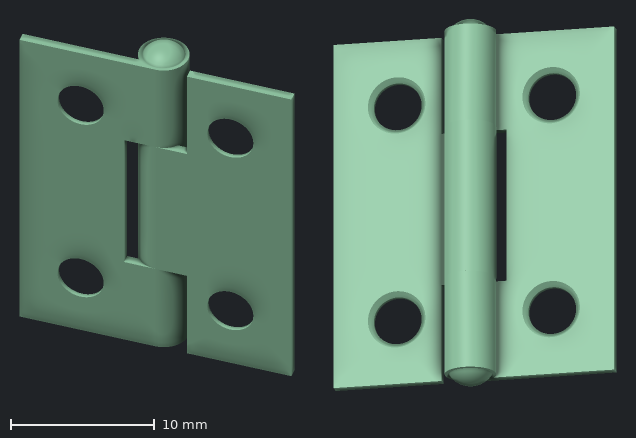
import cadquery as cq
import math

total_height = 26.6
leaf_height = 25.0
hinge_width = 20.0
plate_thickness = 0.7
knuckle_diameter = 3.6
pin_diameter = 3.0
middle_knuckle_height = 11.0
slot_reach = 2.31
screw_hole_diameter = 3.4
straight_hole_depth = 0.35
countersink_angle = 90.0
screw_hole_offset = 5.5
screw_hole_pitch = 15.6

knuckle_radius = knuckle_diameter / 2
pin_radius = pin_diameter / 2
leaf_reach = hinge_width / 2
dome_height = (total_height - leaf_height) / 2
end_knuckle_height = (leaf_height - middle_knuckle_height) / 2
end_knuckle_centre = (middle_knuckle_height + end_knuckle_height) / 2
plate_centre_y = -knuckle_radius + plate_thickness / 2


def plate(side, inner, height, z_centre):
    """Flat plate from `inner` to the leaf edge; side is -1 for left, +1 for right."""
    x_centre = side * (inner + leaf_reach) / 2
    return cq.Workplane("XY").box(leaf_reach - inner, plate_thickness, height).translate(
        (x_centre, plate_centre_y, z_centre)
    )


def cylinder(radius, height, z_centre):
    """Cylinder on the pin axis."""
    return cq.Workplane("XY").circle(radius).extrude(height / 2, both=True).translate((0, 0, z_centre))


def screw_hole():
    """Cutter for a hole that is straight at the flat face and countersunk from the knuckle side."""
    hole_radius = screw_hole_diameter / 2
    front_y = -knuckle_radius
    sink_start_y = front_y + straight_hole_depth
    back_y = front_y + plate_thickness
    sink_radius = hole_radius + (back_y - sink_start_y) * math.tan(math.radians(countersink_angle / 2))
    return (
        cq.Workplane("XY")
        .moveTo(0, front_y)
        .lineTo(hole_radius, front_y)
        .lineTo(hole_radius, sink_start_y)
        .lineTo(sink_radius, back_y)
        .lineTo(0, back_y)
        .close()
        .revolve(360, (0, 0), (0, 1))
    )


def make_leaf(side, knuckles):
    """Plate with two screw holes and tangent knuckles given as (height, z_centre) pairs."""
    leaf = plate(side, slot_reach, leaf_height, 0)
    for height, z_centre in knuckles:
        leaf = leaf.union(plate(side, 0, height, z_centre))
        leaf = leaf.union(cylinder(knuckle_radius, height, z_centre))
    leaf = leaf.cut(cylinder(pin_radius, leaf_height, 0))
    for end in (-1, 1):
        centre = (side * screw_hole_offset, 0, end * screw_hole_pitch / 2)
        leaf = leaf.cut(screw_hole().translate(centre))
    return leaf.clean()


def make_pin():
    """Round pin with a shallow spherical dome on each end, revolved about its axis."""
    half_length = leaf_height / 2
    half_total = total_height / 2
    dome_radius = (pin_radius**2 + dome_height**2) / (2 * dome_height)
    mid_radius = pin_radius / 2
    mid_z = half_total - dome_radius + math.sqrt(dome_radius**2 - mid_radius**2)
    return (
        cq.Workplane("XZ")
        .moveTo(0, -half_total)
        .threePointArc((mid_radius, -mid_z), (pin_radius, -half_length))
        .lineTo(pin_radius, half_length)
        .threePointArc((mid_radius, mid_z), (0, half_total))
        .close()
        .revolve(360, (0, 0), (0, 1))
    )


left_leaf = make_leaf(-1, [(end_knuckle_height, end * end_knuckle_centre) for end in (-1, 1)])
right_leaf = make_leaf(1, [(middle_knuckle_height, 0)])
pin = make_pin()

result = cq.Compound.makeCompound([left_leaf.solids().val(), right_leaf.solids().val(), pin.val()])